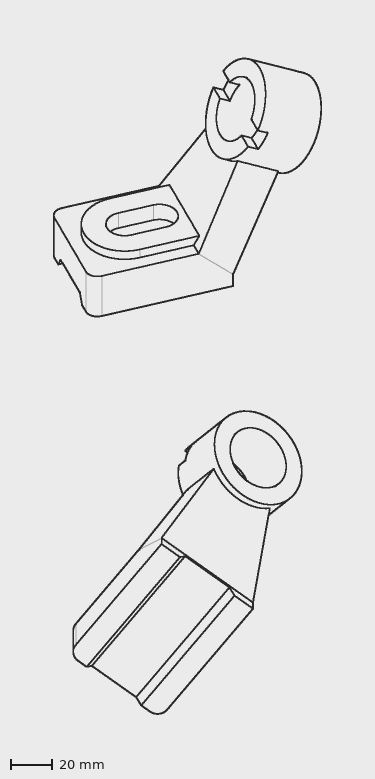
import cadquery as cq
import math

base_width = 56.0
base_length = 73.7
base_height = 24.9
corner_radius = 6.0

channel_height = 5.4
channel_mouth_width = 33.4
channel_wall_angle = 60

pad_width = 42.0
pad_height = 5.0
pad_front_y = 7.1
pad_nose_y = pad_front_y + pad_width / 2
slot_width = 18.1
slot_center_spacing = 18.0
slot_depth = 9.4

arm_lean = 30
joint_run = 17.7
arm_top_width = 33.9
arm_top_thickness = 24.3
arm_end_drop = 17.1

ring_outer_diameter = 49.9
ring_bore = 32.0
ring_length = 33.1
ring_front_y = 85.2
ring_front_z = 85.6
key_width = 10.0
key_depth = 6.0

ring_plane = cq.Plane(
    origin=(0, ring_front_y, ring_front_z),
    xDir=(1, 0, 0),
    normal=(0, -math.cos(math.radians(arm_lean)), math.sin(math.radians(arm_lean))),
)
joint_top_y = base_length - joint_run
joint_bottom_z = base_height - joint_run


def make_base():
    profile = [
        (0, 0),
        (base_length, 0),
        (base_length, joint_bottom_z),
        (joint_top_y, base_height),
        (0, base_height),
    ]
    block = cq.Workplane("YZ").polyline(profile).close().extrude(base_width / 2, both=True)
    return block.edges("|Z and <Y").fillet(corner_radius)


def make_channel():
    mouth_half = channel_mouth_width / 2
    roof_half = mouth_half - channel_height / math.tan(math.radians(channel_wall_angle))
    profile = [
        (-mouth_half, 0),
        (mouth_half, 0),
        (roof_half, channel_height),
        (-roof_half, channel_height),
    ]
    return cq.Workplane("XZ").polyline(profile).close().extrude(-base_length)


def make_pad():
    half_width = pad_width / 2
    pad_back_y = joint_top_y + pad_height
    return (
        cq.Workplane("XY", origin=(0, 0, base_height))
        .moveTo(-half_width, pad_back_y)
        .lineTo(-half_width, pad_nose_y)
        .threePointArc((0, pad_front_y), (half_width, pad_nose_y))
        .lineTo(half_width, pad_back_y)
        .close()
        .extrude(pad_height)
    )


def make_pad_slot():
    slot_center_y = pad_nose_y + slot_center_spacing / 2
    return (
        cq.Workplane("XY", origin=(0, slot_center_y, base_height + pad_height))
        .slot2D(slot_center_spacing + slot_width, slot_width, 90)
        .extrude(-slot_depth)
    )


def make_arm():
    front_depth = -(ring_length - arm_top_thickness) / 2
    back_depth = front_depth - arm_top_thickness
    half_base = base_width / 2
    half_top = arm_top_width / 2
    joint_corners = [
        cq.Vector(-half_base, joint_top_y, base_height),
        cq.Vector(half_base, joint_top_y, base_height),
        cq.Vector(half_base, base_length, joint_bottom_z),
        cq.Vector(-half_base, base_length, joint_bottom_z),
    ]
    end_corners = [
        ring_plane.toWorldCoords((-half_top, -arm_end_drop, front_depth)),
        ring_plane.toWorldCoords((half_top, -arm_end_drop, front_depth)),
        ring_plane.toWorldCoords((half_top, -arm_end_drop, back_depth)),
        ring_plane.toWorldCoords((-half_top, -arm_end_drop, back_depth)),
    ]
    joint_outline = cq.Wire.makePolygon(joint_corners, close=True)
    end_outline = cq.Wire.makePolygon(end_corners, close=True)
    return cq.Workplane(obj=cq.Solid.makeLoft([joint_outline, end_outline], True))


def make_ring():
    return cq.Workplane(ring_plane).circle(ring_outer_diameter / 2).extrude(-ring_length)


def make_ring_bore():
    return cq.Workplane(ring_plane).circle(ring_bore / 2).extrude(-ring_length)


def make_key_slot():
    return cq.Workplane(ring_plane).rect(ring_outer_diameter, key_width).extrude(-key_depth)


base = make_base().cut(make_channel())
bracket = base.union(make_arm()).union(make_pad()).union(make_ring())
result = bracket.cut(make_pad_slot()).cut(make_ring_bore()).cut(make_key_slot())